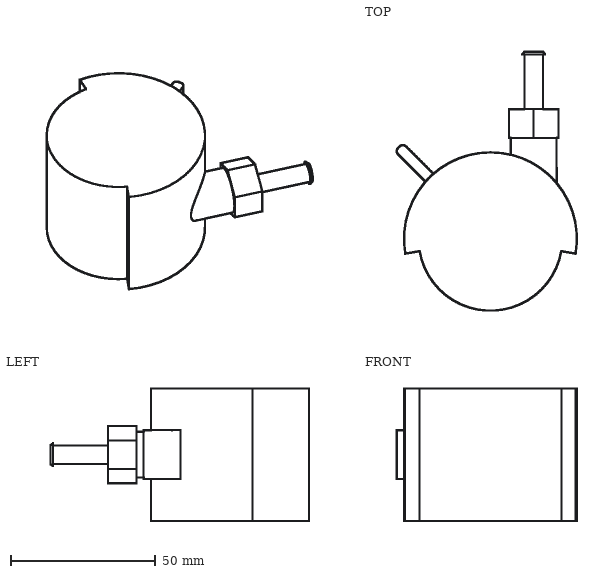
import cadquery as cq
import math

BODY_HEIGHT = 46.0
LARGE_RADIUS = 30.0
SMALL_RADIUS = 25.0
STEP_ANGLE = 10.0

OVERALL_DEPTH = 89.9
FITTING_X = 15.0
BOSS_DIAMETER = 16.0
NUT_CORNER_DIAMETER = 20.0
NUT_LENGTH = 10.0
PIPE_DIAMETER = 6.5
PIPE_LENGTH = 20.0
BARB_DIAMETER = 8.0
BARB_LENGTH = 1.0

PLATE_ANGLE = 135.0
PLATE_REACH = 44.95
PLATE_THICKNESS = 4.0
PLATE_HEIGHT = 17.0
PLATE_END_ROUND = 1.5

TIP_Y = OVERALL_DEPTH - SMALL_RADIUS
NUT_END_Y = TIP_Y - PIPE_LENGTH
NUT_START_Y = NUT_END_Y - NUT_LENGTH


def polar(radius, degrees):
    angle = math.radians(degrees)
    return radius * math.cos(angle), radius * math.sin(angle)


def make_body():
    right_step = -STEP_ANGLE
    left_step = 180 + STEP_ANGLE
    return (
        cq.Workplane("XY", origin=(0, 0, -BODY_HEIGHT / 2))
        .moveTo(*polar(LARGE_RADIUS, right_step))
        .threePointArc((0, LARGE_RADIUS), polar(LARGE_RADIUS, left_step))
        .lineTo(*polar(SMALL_RADIUS, left_step))
        .threePointArc((0, -SMALL_RADIUS), polar(SMALL_RADIUS, right_step))
        .close()
        .extrude(BODY_HEIGHT)
    )


def fitting_plane(y):
    """Plane on the fitting axis whose normal is +Y and whose local Y is +Z."""
    return cq.Workplane(cq.Plane(origin=(FITTING_X, y, 0), xDir=(-1, 0, 0), normal=(0, 1, 0)))


def make_fitting():
    boss = fitting_plane(0).circle(BOSS_DIAMETER / 2).extrude(NUT_START_Y)
    nut = (
        fitting_plane(NUT_START_Y)
        .transformed(rotate=(0, 0, 90))
        .polygon(6, NUT_CORNER_DIAMETER)
        .extrude(NUT_LENGTH)
    )
    pipe = fitting_plane(NUT_END_Y).circle(PIPE_DIAMETER / 2).extrude(PIPE_LENGTH)
    barb = (
        fitting_plane(TIP_Y - BARB_LENGTH)
        .circle(BARB_DIAMETER / 2)
        .workplane(offset=BARB_LENGTH)
        .circle(PIPE_DIAMETER / 2)
        .loft()
    )
    return boss.union(nut).union(pipe).union(barb)


def make_plate():
    return (
        cq.Workplane("XY")
        .box(PLATE_REACH, PLATE_THICKNESS, PLATE_HEIGHT, centered=(False, True, True))
        .edges("|Z and >X")
        .fillet(PLATE_END_ROUND)
        .rotate((0, 0, 0), (0, 0, 1), PLATE_ANGLE)
    )


result = make_body().union(make_fitting()).union(make_plate())